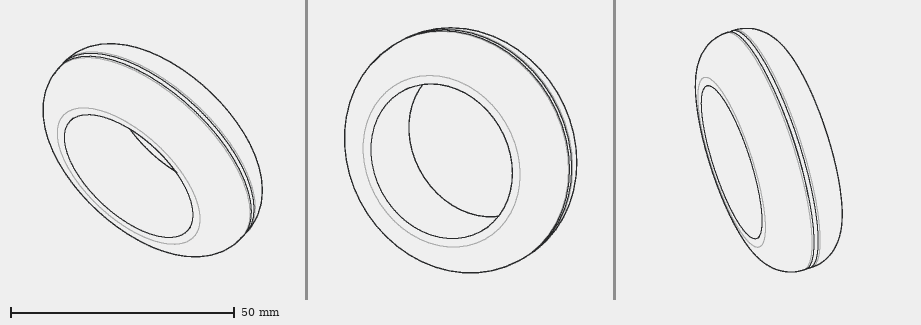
import cadquery as cq

outer_diameter = 56.0
thickness = 18.0
bore_diameter = 36.0
edge_radius = 8.0
groove_diameter = 48.0
groove_width = 1.0


def disc(diameter, width):
    """Disc around the Y axis, centred on the origin."""
    sketch_plane = cq.Workplane("XZ", origin=(0, width / 2, 0))
    return sketch_plane.circle(diameter / 2).extrude(width)


body = disc(outer_diameter, thickness).faces("<Y or >Y").edges().fillet(edge_radius)

bore = disc(bore_diameter, thickness)

groove = disc(outer_diameter, groove_width).cut(disc(groove_diameter, groove_width))

result = body.cut(bore).cut(groove)